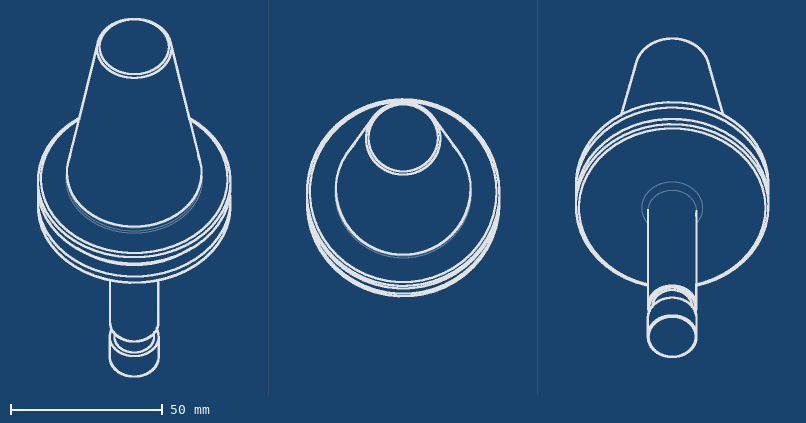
import cadquery as cq
import math

total_height = 168.4

taper_length = 68.4
gauge_radius = 22.2
taper_ratio = 7 / 24
taper_top_radius = gauge_radius - taper_length * taper_ratio / 2
top_chamfer = 0.8

neck_height = 3.2
neck_radius = 44.0 / 2
relief_height = 1.0
neck_root_fillet = 0.5

flange_radius = 63.5 / 2
flange_height = 15.8
flange_chamfer = 1.0
groove_radius = 28.1
groove_floor_height = 4.0
groove_flank_height = 1.5
groove_center_below_top = 7.9

arbor_radius = 16.0 / 2
arbor_root_fillet = 2.0
arbor_end_chamfer = 0.5

pilot_radius = 8.0
pilot_height = 11.5
pilot_chamfer = 0.3
pilot_neck_radius = 6.5
pilot_neck_height = 7.2

gauge_z = total_height - taper_length
flange_top_z = gauge_z - neck_height
flange_bottom_z = flange_top_z - flange_height
groove_z = flange_top_z - groove_center_below_top
groove_floor_top_z = groove_z + groove_floor_height / 2
groove_floor_bottom_z = groove_z - groove_floor_height / 2
arbor_bottom_z = pilot_height + pilot_neck_height

arc_mid_ratio = 1 - math.sqrt(0.5)
arbor_arc_offset = arbor_root_fillet * arc_mid_ratio
neck_arc_offset = neck_root_fillet * arc_mid_ratio

profile = (
    cq.Workplane("XZ")
    .moveTo(0, 0)
    .lineTo(pilot_radius - pilot_chamfer, 0)
    .lineTo(pilot_radius, pilot_chamfer)
    .lineTo(pilot_radius, pilot_height)
    .lineTo(pilot_neck_radius, pilot_height)
    .lineTo(pilot_neck_radius, arbor_bottom_z)
    .lineTo(arbor_radius - arbor_end_chamfer, arbor_bottom_z)
    .lineTo(arbor_radius, arbor_bottom_z + arbor_end_chamfer)
    .lineTo(arbor_radius, flange_bottom_z - arbor_root_fillet)
    .threePointArc(
        (arbor_radius + arbor_arc_offset, flange_bottom_z - arbor_arc_offset),
        (arbor_radius + arbor_root_fillet, flange_bottom_z),
    )
    .lineTo(flange_radius - flange_chamfer, flange_bottom_z)
    .lineTo(flange_radius, flange_bottom_z + flange_chamfer)
    .lineTo(flange_radius, groove_floor_bottom_z - groove_flank_height)
    .lineTo(groove_radius, groove_floor_bottom_z)
    .lineTo(groove_radius, groove_floor_top_z)
    .lineTo(flange_radius, groove_floor_top_z + groove_flank_height)
    .lineTo(flange_radius, flange_top_z - flange_chamfer)
    .lineTo(flange_radius - flange_chamfer, flange_top_z)
    .lineTo(neck_radius + neck_root_fillet, flange_top_z)
    .threePointArc(
        (neck_radius + neck_arc_offset, flange_top_z + neck_arc_offset),
        (neck_radius, flange_top_z + neck_root_fillet),
    )
    .lineTo(neck_radius, gauge_z - relief_height)
    .lineTo(gauge_radius, gauge_z)
    .lineTo(taper_top_radius, total_height - top_chamfer)
    .lineTo(taper_top_radius - top_chamfer, total_height)
    .lineTo(0, total_height)
    .close()
)

result = profile.revolve(360, (0, 0, 0), (0, 1, 0))